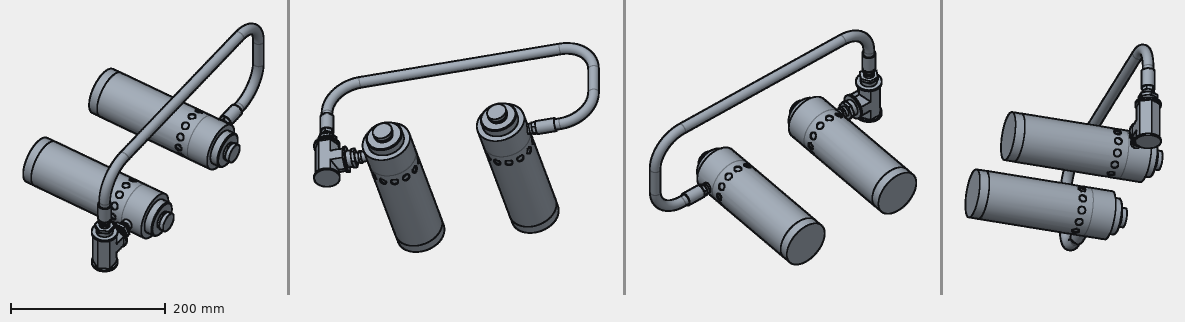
import cadquery as cq
import math

CANISTER_SPACING = 152.4
PORT_X = 163.1
CANISTER_AXES_Y = (0.0, CANISTER_SPACING)

CAP_DIAMETER = 63.25
BODY_DIAMETER = 63.5
COLLAR_DIAMETER = 47.65
NECK_DIAMETER = 23.52
OUTLET_DIAMETER = 25.4
CAP_END_X = 12.7
BODY_END_X = 153.4
HEAD_END_X = 184.4
COLLAR_END_X = 196.0
NECK_END_X = 199.4
CANISTER_LENGTH = 205.74
COLLAR_CHAMFER = 1.2

VENT_COUNT = 12
VENT_DIAMETER = 9.53
VENT_X = 139.7
VENT_FLOOR_DIAMETER = 60.3

TEE_Y = -84.4
TEE_TOP_Z = 30.0
TEE_BOTTOM_Z = -27.0
TEE_BRANCH_REACH = 27.2
TEE_HEX_FLATS = 27.0
TEE_RIM_DIAMETER = 33.66
TEE_RIM_THICKNESS = 2.6

BUSHING_HEX_FLATS = 22.2
BUSHING_HEX_HEIGHT = 4.6
BUSHING_THREAD_LENGTH = 7.0
BUSHING_THREAD_TIP = 21.6
THREAD_TAPER = 1 / 16
BUSHING_HEIGHT = BUSHING_THREAD_LENGTH + BUSHING_HEX_HEIGHT

NIPPLE_DIAMETER = 13.61
NIPPLE_HEX_FLATS = 14.29
NIPPLE_HEX_HEIGHT = 3.5
NIPPLE_HEX_OFFSET = 4.5
PORT_DEPTH = 6.35

HOSE_DIAMETER = 14.29
HOSE_BEND_RADIUS = 44.45
HOSE_TOP_Z = 129.59
HOSE_REAR_Y = 271.2
HOSE_THREAD_DIAMETER = 13.61
HOSE_COLLAR_DIAMETER = 13.72
HOSE_COLLAR_LENGTH = 3.4
HOSE_HEX_FLATS = 14.29
HOSE_HEX_HEIGHT = 5.3
FERRULE_DIAMETER = 17.48
FERRULE_LENGTH = 25.1
HOSE_TAIL_LENGTH = 6.4


def axis_plane(origin, direction):
    """Plane whose normal is the direction and whose local X is the global X axis."""
    return cq.Plane(origin=origin, xDir=(1, 0, 0), normal=direction)


def rod(plane, start, length, diameter):
    return cq.Workplane(plane).workplane(offset=start).circle(diameter / 2).extrude(length)


def hex_bar(plane, start, length, flats, turn=30):
    """Hexagonal bar; a turn of 30 degrees puts two flats square to the plane's local X."""
    corners = flats / math.cos(math.pi / 6)
    return (
        cq.Workplane(plane)
        .workplane(offset=start)
        .transformed(rotate=(0, 0, turn))
        .polygon(6, corners)
        .extrude(length)
    )


def canister_blank():
    """Round body and stepped head on the X axis, kept as two face stretches that meet at a seam."""
    body = (
        cq.Workplane("XY")
        .lineTo(0, CAP_DIAMETER / 2)
        .lineTo(CAP_END_X, CAP_DIAMETER / 2)
        .lineTo(CAP_END_X, BODY_DIAMETER / 2)
        .lineTo(BODY_END_X, BODY_DIAMETER / 2)
        .lineTo(BODY_END_X, 0)
        .close()
        .revolve(360, (0, 0, 0), (1, 0, 0))
    )
    head = (
        cq.Workplane("XY")
        .moveTo(BODY_END_X, 0)
        .lineTo(BODY_END_X, BODY_DIAMETER / 2)
        .lineTo(HEAD_END_X, BODY_DIAMETER / 2)
        .lineTo(HEAD_END_X, COLLAR_DIAMETER / 2)
        .lineTo(COLLAR_END_X - COLLAR_CHAMFER, COLLAR_DIAMETER / 2)
        .lineTo(COLLAR_END_X, COLLAR_DIAMETER / 2 - COLLAR_CHAMFER)
        .lineTo(COLLAR_END_X, NECK_DIAMETER / 2)
        .lineTo(NECK_END_X, NECK_DIAMETER / 2)
        .lineTo(NECK_END_X, OUTLET_DIAMETER / 2)
        .lineTo(CANISTER_LENGTH, OUTLET_DIAMETER / 2)
        .lineTo(CANISTER_LENGTH, 0)
        .close()
        .revolve(360, (0, 0, 0), (1, 0, 0))
    )
    return body.union(head, clean=False)


def vent_ring():
    """Radial pins, hollowed by the core cylinder, that cut the vents."""
    ring = cq.Workplane("XY")
    for index in range(VENT_COUNT):
        angle = 2 * math.pi * index / VENT_COUNT
        outward = (0, math.cos(angle), math.sin(angle))
        ring = ring.add(rod(axis_plane((VENT_X, 0, 0), outward), 0, BODY_DIAMETER, VENT_DIAMETER))
    core_start = cq.Plane(origin=(VENT_X - VENT_DIAMETER, 0, 0), xDir=(0, 1, 0), normal=(1, 0, 0))
    return ring.combine().cut(rod(core_start, 0, 2 * VENT_DIAMETER, VENT_FLOOR_DIAMETER))


def canister(axis_y, port_direction, port_diameter):
    """Vented canister with one round port bored from its side."""
    port_plane = axis_plane((PORT_X, 0, 0), (0, port_direction, 0))
    port = rod(port_plane, BODY_DIAMETER / 2 - PORT_DEPTH, BODY_DIAMETER, port_diameter)
    vented = canister_blank().cut(vent_ring(), clean=False)
    return vented.cut(port, clean=False).translate((0, axis_y, 0))


front_canister = canister(CANISTER_AXES_Y[0], -1, NIPPLE_DIAMETER)
rear_canister = canister(CANISTER_AXES_Y[1], 1, HOSE_THREAD_DIAMETER)


def tee_fitting():
    """Hexagonal run along Z with a hexagonal branch toward +Y and a round rim at each mouth."""
    run = axis_plane((PORT_X, TEE_Y, 0), (0, 0, 1))
    branch = axis_plane((PORT_X, TEE_Y, 0), (0, 1, 0))
    body = hex_bar(run, TEE_BOTTOM_Z, TEE_TOP_Z - TEE_BOTTOM_Z, TEE_HEX_FLATS)
    body = body.union(hex_bar(branch, 0, TEE_BRANCH_REACH, TEE_HEX_FLATS))
    rims = (
        (run, TEE_BOTTOM_Z),
        (run, TEE_TOP_Z - TEE_RIM_THICKNESS),
        (branch, TEE_BRANCH_REACH - TEE_RIM_THICKNESS),
    )
    for plane, start in rims:
        body = body.union(rod(plane, start, TEE_RIM_THICKNESS, TEE_RIM_DIAMETER))
    return body


tee = tee_fitting()


def bushing(plane, turn):
    """Tapered thread standing on the tee mouth, topped by a hex."""
    hex_base_diameter = BUSHING_THREAD_TIP + BUSHING_THREAD_LENGTH * THREAD_TAPER
    thread = (
        cq.Workplane(plane)
        .circle(BUSHING_THREAD_TIP / 2)
        .workplane(offset=BUSHING_THREAD_LENGTH)
        .circle(hex_base_diameter / 2)
        .loft()
    )
    return thread.union(hex_bar(plane, BUSHING_THREAD_LENGTH, BUSHING_HEX_HEIGHT, BUSHING_HEX_FLATS, turn))


BRANCH_MOUTH_Y = TEE_Y + TEE_BRANCH_REACH
top_bushing = bushing(axis_plane((PORT_X, TEE_Y, TEE_TOP_Z), (0, 0, 1)), 30)
side_bushing = bushing(axis_plane((PORT_X, BRANCH_MOUTH_Y, 0), (0, 1, 0)), 0)


def hex_nipple():
    """Threaded rod with a hex, from the side bushing into the front canister."""
    start_y = BRANCH_MOUTH_Y + BUSHING_HEIGHT
    plane = axis_plane((PORT_X, start_y, 0), (0, 1, 0))
    length = -BODY_DIAMETER / 2 + PORT_DEPTH - start_y
    shank = rod(plane, 0, length, NIPPLE_DIAMETER)
    return shank.union(hex_bar(plane, NIPPLE_HEX_OFFSET, NIPPLE_HEX_HEIGHT, NIPPLE_HEX_FLATS, 0))


nipple = hex_nipple()


def hose_end(bend_start, direction, thread_end, turn):
    """End fitting from the start of the bend outward: hose, ferrule, hex, collar and thread."""
    plane = axis_plane(bend_start, direction)
    ferrule_start = HOSE_TAIL_LENGTH
    hex_start = ferrule_start + FERRULE_LENGTH
    collar_start = hex_start + HOSE_HEX_HEIGHT
    thread_start = collar_start + HOSE_COLLAR_LENGTH
    fitting = rod(plane, 0, ferrule_start, HOSE_DIAMETER)
    fitting = fitting.union(rod(plane, ferrule_start, FERRULE_LENGTH, FERRULE_DIAMETER))
    fitting = fitting.union(hex_bar(plane, hex_start, HOSE_HEX_HEIGHT, HOSE_HEX_FLATS, turn))
    fitting = fitting.union(rod(plane, collar_start, HOSE_COLLAR_LENGTH, HOSE_COLLAR_DIAMETER))
    return fitting.union(rod(plane, thread_start, thread_end - thread_start, HOSE_THREAD_DIAMETER))


def hose_assembly():
    """Hose that rises from the tee, crosses both canisters and returns to the rear canister."""
    radius = HOSE_BEND_RADIUS
    bend_offset = radius * math.sqrt(0.5)
    upper_bend_z = HOSE_TOP_Z - radius
    front_bend_y = TEE_Y + radius
    rear_bend_y = HOSE_REAR_Y - radius
    path = (
        cq.Workplane("YZ", origin=(PORT_X, 0, 0))
        .moveTo(TEE_Y, upper_bend_z)
        .threePointArc((front_bend_y - bend_offset, upper_bend_z + bend_offset), (front_bend_y, HOSE_TOP_Z))
        .lineTo(rear_bend_y, HOSE_TOP_Z)
        .threePointArc((rear_bend_y + bend_offset, upper_bend_z + bend_offset), (HOSE_REAR_Y, upper_bend_z))
        .lineTo(HOSE_REAR_Y, radius)
        .threePointArc((rear_bend_y + bend_offset, radius - bend_offset), (rear_bend_y, 0))
    )
    start = axis_plane((PORT_X, TEE_Y, upper_bend_z), (0, 0, 1))
    tube = cq.Workplane(start).circle(HOSE_DIAMETER / 2).sweep(path)
    bushing_top_z = TEE_TOP_Z + BUSHING_HEIGHT
    port_floor_y = CANISTER_SPACING + BODY_DIAMETER / 2 - PORT_DEPTH
    front_end = hose_end((PORT_X, TEE_Y, upper_bend_z), (0, 0, -1), upper_bend_z - bushing_top_z, 0)
    rear_end = hose_end((PORT_X, rear_bend_y, 0), (0, -1, 0), rear_bend_y - port_floor_y, 30)
    return tube.union(front_end).union(rear_end)


hose = hose_assembly()

result = cq.Compound.makeCompound([
    front_canister.val(),
    rear_canister.val(),
    tee.val(),
    top_bushing.val(),
    side_bushing.val(),
    nipple.val(),
    hose.val(),
])